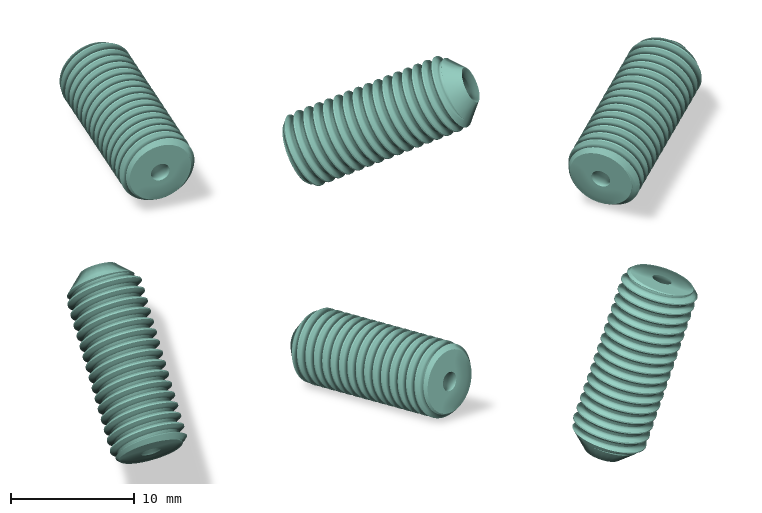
import cadquery as cq
import math

length = 15.88
major_diameter = 6.35
pitches_per_diameter = 7
point_radius = 1.51
tail_radius = 2.67
bore_radius = 0.81
cup_depth = 0.43
first_root_x = 0.22
thread_turns = 18
tool_overlap = 0.05

major_radius = major_diameter / 2
pitch = major_diameter / pitches_per_diameter
flank_angle = math.radians(30)
thread_depth = 5 / 8 * pitch * math.cos(flank_angle)
root_radius = major_radius - thread_depth
root_half_width = pitch / 8
cutter_radius = major_radius + tool_overlap
flank_run = (cutter_radius - root_radius) * math.tan(flank_angle)
cutter_half_width = root_half_width + flank_run


def make_blank():
    """Revolve the bored blank with its hollow 45 degree point and 45 degree tail chamfer."""
    point_length = major_radius - point_radius
    tail_length = major_radius - tail_radius
    profile = [
        (0, point_radius),
        (point_length, major_radius),
        (length - tail_length, major_radius),
        (length, tail_radius),
        (length, bore_radius),
        (cup_depth, bore_radius),
    ]
    return cq.Workplane("XY").polyline(profile).close().revolve(360, (0, 0, 0), (1, 0, 0))


def make_thread_cutter():
    """Sweep one turn of groove along a right-hand helix about Z, then lay it along X."""
    groove = [
        (root_radius, -root_half_width),
        (cutter_radius, -cutter_half_width),
        (cutter_radius, cutter_half_width),
        (root_radius, root_half_width),
    ]
    helix = cq.Wire.makeHelix(pitch, pitch, root_radius)
    cutter = cq.Workplane("XZ").polyline(groove).close().sweep(cq.Workplane(helix), isFrenet=True)
    return cutter.rotate((0, 0, 0), (0, 1, 0), 90).translate((first_root_x, 0, 0))


def cut_thread(body):
    """Cut the groove one turn at a time, each turn starting where the last one ends."""
    one_turn = make_thread_cutter()
    for turn in range(thread_turns):
        body = body.cut(one_turn.translate((turn * pitch, 0, 0)))
    return body


result = cut_thread(make_blank())